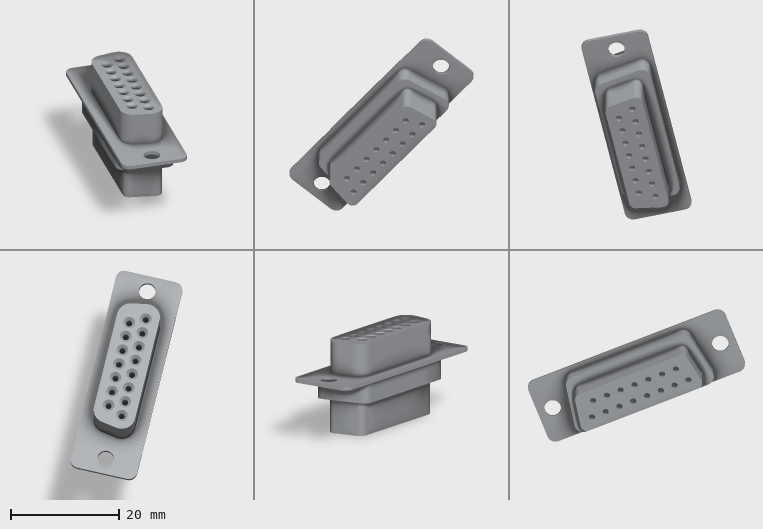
import cadquery as cq
import math

rear_height = 6.65
collar_height = 4.05
flange_thickness = 0.7
shell_height = 6.22
collar_bottom = rear_height
flange_bottom = collar_bottom + collar_height
shell_bottom = flange_bottom + flange_thickness
shell_top = shell_bottom + shell_height

flange_length = 39.15
flange_width = 12.55
flange_corner_radius = 1.55
mount_hole_diameter = 3.05
mount_hole_spacing = 33.3

side_angle = math.radians(10)
shell_length, shell_width, shell_radius = 24.65, 7.9, 2.55
collar_length, collar_width, collar_radius = 27.48, 10.72, 1.6
rear_length, rear_width, rear_radius = 24.05, 7.2, 1.2

contact_pitch = 2.75
row_spacing = 2.8
long_row_count = 8
contact_offset = 0.15
contact_hole_diameter = 1.15
countersink_diameter = 2.2
countersink_angle = 90

mark_length = 0.2
mark_width = 0.75
mark_height = 0.08
mark_x = 9.82
mark_y = 3.0


def d_block(length, width, radius, bottom, height):
    """Prism with a rounded D outline, wider toward +Y."""
    tangent_length = radius * math.tan((math.pi / 2 + side_angle) / 2)
    wide_half = length / 2 - radius + tangent_length
    narrow_half = wide_half - width * math.tan(side_angle)
    return (
        cq.Workplane("XY")
        .workplane(offset=bottom)
        .moveTo(-narrow_half, -width / 2)
        .lineTo(narrow_half, -width / 2)
        .lineTo(wide_half, width / 2)
        .lineTo(-wide_half, width / 2)
        .close()
        .extrude(height)
        .edges("|Z")
        .fillet(radius)
    )


def mounting_flange():
    """Thin rounded plate with a mounting hole near each end."""
    return (
        cq.Workplane("XY")
        .workplane(offset=flange_bottom)
        .rect(flange_length, flange_width)
        .extrude(flange_thickness)
        .edges("|Z")
        .fillet(flange_corner_radius)
        .faces(">Z")
        .workplane(origin=(0, 0, shell_bottom))
        .pushPoints([(-mount_hole_spacing / 2, 0), (mount_hole_spacing / 2, 0)])
        .hole(mount_hole_diameter)
    )


def contact_row(count, y):
    """Centres of one row of evenly spaced contacts."""
    first_x = contact_offset - (count - 1) * contact_pitch / 2
    return [(first_x + i * contact_pitch, y) for i in range(count)]


contact_points = contact_row(long_row_count, row_spacing / 2)
contact_points += contact_row(long_row_count - 1, -row_spacing / 2)

rear_body = d_block(rear_length, rear_width, rear_radius, 0, rear_height)
collar = d_block(collar_length, collar_width, collar_radius, collar_bottom, collar_height)
shell = d_block(shell_length, shell_width, shell_radius, shell_bottom, shell_height)
body = rear_body.union(collar).union(mounting_flange()).union(shell)

mark = (
    cq.Workplane("XY")
    .center(mark_x, mark_y)
    .rect(mark_length, mark_width)
    .extrude(-mark_height)
)
body = body.union(mark)

result = (
    body.faces(">Z")
    .workplane(origin=(0, 0, shell_top))
    .pushPoints(contact_points)
    .cskHole(contact_hole_diameter, countersink_diameter, countersink_angle)
)